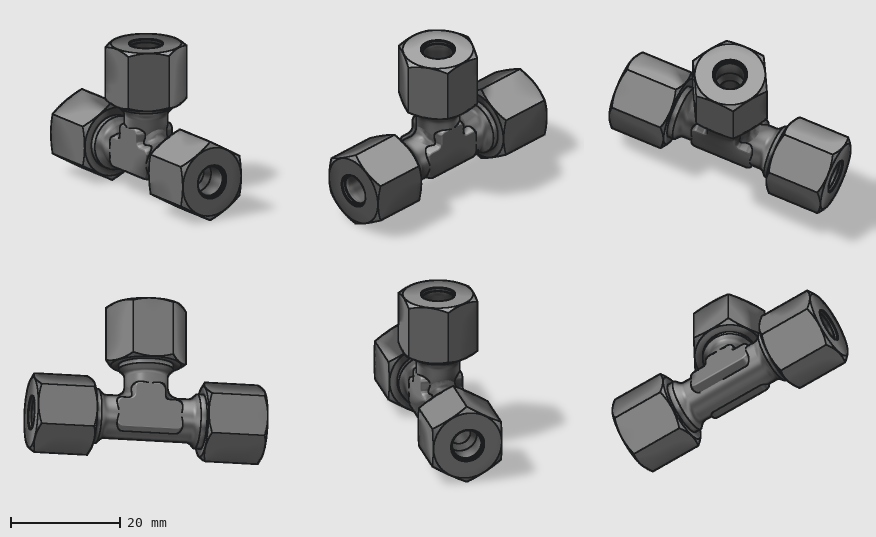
import cadquery as cq
import math

run_reach = 21.45
branch_reach = 21.18

nut_width = 13.0
nut_length = 11.05
nut_face_radius = 6.45
nut_chamfer_angle = 30.0
nut_hole_radius = 3.0
nut_rim_chamfer = 0.17

ring_depth = 0.65
ring_lip_radius = 2.722
ring_lip_length = 0.95
ring_outer_radius = 4.0
ring_end_depth = 4.7

arm_radius = 4.0
collar_radius = 5.0
collar_start = 9.25
collar_neck_radius = 1.4
bore_radius = 2.0
arm_blend_radius = 1.95
blend_sweep_angle = 60
blend_bite = 0.01

pad_half_length = 6.0
pad_half_height = 2.8
pad_neck_half_width = 2.8
pad_top = 5.9
pad_corner_radius = 1.0
pad_depth = 2.15
pad_draft = 15.0
pad_edge_radius = 0.3

ports = [(run_reach, -90), (run_reach, 90), (branch_reach, 0)]


def revolve_about_z(profile):
    """Close a half profile drawn in the XZ plane and turn it about Z."""
    return profile.close().revolve(360, (0, 0, 0), (0, 1, 0))


def aim(body, turn):
    """Swing a body built on +Z to its port, by a turn about Y."""
    return body.rotate((0, 0, 0), (0, 1, 0), turn)


def make_nut(reach):
    """Hexagon nut on +Z with chamfered ends, bored for the ring and collar."""
    corner_radius = nut_width / math.sqrt(3)
    chamfer_drop = (corner_radius - nut_face_radius) * math.tan(math.radians(nut_chamfer_angle))
    inner_face = reach - nut_length
    hexagon = (
        cq.Workplane("XY")
        .workplane(offset=inner_face)
        .polygon(6, 2 * corner_radius)
        .extrude(nut_length)
    )
    chamfered_envelope = revolve_about_z(
        cq.Workplane("XZ")
        .moveTo(0, inner_face)
        .lineTo(nut_face_radius, inner_face)
        .lineTo(corner_radius, inner_face + chamfer_drop)
        .lineTo(corner_radius, reach - chamfer_drop)
        .lineTo(nut_face_radius, reach)
        .lineTo(0, reach)
    )
    ring_rear = reach - ring_depth
    shoulder = ring_outer_radius - nut_hole_radius
    ring_seat = reach - ring_end_depth
    cavity = revolve_about_z(
        cq.Workplane("XZ")
        .moveTo(0, inner_face)
        .lineTo(collar_radius, inner_face)
        .lineTo(collar_radius, ring_seat)
        .lineTo(ring_outer_radius, ring_seat)
        .lineTo(ring_outer_radius, ring_rear - shoulder)
        .lineTo(nut_hole_radius, ring_rear)
        .lineTo(nut_hole_radius, reach - nut_rim_chamfer)
        .lineTo(nut_hole_radius + nut_rim_chamfer, reach)
        .lineTo(0, reach)
    )
    return hexagon.intersect(chamfered_envelope).cut(cavity)


def make_ring(reach):
    """Ring on +Z: 45 degree rear shoulder outside, flared lip inside."""
    rear = reach - ring_depth
    seat = reach - ring_end_depth
    shoulder = ring_outer_radius - nut_hole_radius
    return revolve_about_z(
        cq.Workplane("XZ")
        .moveTo(nut_hole_radius, seat)
        .lineTo(ring_outer_radius, seat)
        .lineTo(ring_outer_radius, rear - shoulder)
        .lineTo(nut_hole_radius, rear)
        .lineTo(ring_lip_radius, rear)
        .lineTo(nut_hole_radius, rear - ring_lip_length)
    )


def make_arm(reach):
    """Arm on +Z: plain neck, then a 45 degree cone rising to the collar."""
    end = reach - ring_end_depth
    diagonal = math.sqrt(0.5)
    cone_foot_radius = arm_radius + collar_neck_radius * (1 - diagonal)
    cone_foot = collar_start - (collar_radius - cone_foot_radius)
    neck_end = cone_foot - collar_neck_radius * diagonal
    arc_mid = math.radians(45 / 2)
    return revolve_about_z(
        cq.Workplane("XZ")
        .lineTo(arm_radius, 0)
        .lineTo(arm_radius, neck_end)
        .threePointArc(
            (
                arm_radius + collar_neck_radius * (1 - math.cos(arc_mid)),
                neck_end + collar_neck_radius * math.sin(arc_mid),
            ),
            (cone_foot_radius, cone_foot),
        )
        .lineTo(collar_radius, collar_start)
        .lineTo(collar_radius, end)
        .lineTo(0, end)
    )


def make_bore(reach):
    """Flow bore on +Z, opening as a 45 degree funnel at the ring's seat."""
    end = reach - ring_end_depth
    return revolve_about_z(
        cq.Workplane("XZ")
        .lineTo(bore_radius, 0)
        .lineTo(bore_radius, end - (nut_hole_radius - bore_radius))
        .lineTo(nut_hole_radius, end)
        .lineTo(0, end)
    )


def make_pad():
    """T-shaped flat on the -Y side, level with the arms, with drafted walls."""
    outline = (
        cq.Sketch()
        .polygon([
            (-pad_half_length, -pad_half_height),
            (pad_half_length, -pad_half_height),
            (pad_half_length, pad_half_height),
            (pad_neck_half_width, pad_half_height),
            (pad_neck_half_width, pad_top),
            (-pad_neck_half_width, pad_top),
            (-pad_neck_half_width, pad_half_height),
            (-pad_half_length, pad_half_height),
            (-pad_half_length, -pad_half_height),
        ])
        .vertices()
        .fillet(pad_corner_radius)
    )
    return (
        cq.Workplane("XZ", origin=(0, -arm_radius, 0))
        .placeSketch(outline)
        .extrude(-pad_depth, taper=-pad_draft)
        .faces("<Y")
        .edges()
        .fillet(pad_edge_radius)
    )


def make_crotch_round():
    """Rolling-ball rounding between the branch and the +X half of the run.

    The ball touches both arms, so its centre follows an ellipse in the plane
    at 45 degrees between them, and its contact lines bound the round.
    """
    ball_reach = arm_radius + arm_blend_radius
    wedge = (
        cq.Workplane("XZ")
        .polyline([(0, 0), (ball_reach, arm_radius), (arm_radius, ball_reach)])
        .close()
        .extrude(arm_radius, both=True)
    )
    crotch_plane = cq.Plane(origin=(0, 0, 0), xDir=(1, 0, 1), normal=(1, 0, -1))
    contact_reach = (arm_radius + ball_reach) / math.sqrt(2)
    contact_limit = (
        cq.Workplane(crotch_plane)
        .ellipse(contact_reach, arm_radius)
        .extrude(ball_reach, both=True)
    )
    ball_path = cq.Workplane(crotch_plane).ellipseArc(
        ball_reach * math.sqrt(2), ball_reach, -blend_sweep_angle, blend_sweep_angle, startAtCurrent=False
    )
    path_start = ball_path.val().startPoint().toTuple()
    path_direction = ball_path.val().tangentAt(0).toTuple()
    ball_sweep = (
        cq.Workplane(cq.Plane(origin=path_start, xDir=(1, 0, -1), normal=path_direction))
        .circle(arm_blend_radius + blend_bite)
        .sweep(ball_path)
    )
    return wedge.intersect(contact_limit).cut(ball_sweep)


def make_tee():
    """Two pads, three arms and two rounded crotches, then bored from each port."""
    tee = make_pad()
    tee = tee.union(make_pad().mirror("XZ"))
    for reach, turn in ports:
        tee = tee.union(aim(make_arm(reach), turn))
    crotch = make_crotch_round()
    tee = tee.union(crotch).union(crotch.mirror("YZ"))
    for reach, turn in ports:
        tee = tee.cut(aim(make_bore(reach), turn))
    return tee


tee = make_tee()
rings = [aim(make_ring(reach), turn) for reach, turn in ports]
nuts = [aim(make_nut(reach), turn) for reach, turn in ports]

result = cq.Compound.makeCompound([
    tee.val(),
    *[ring.val() for ring in rings],
    *[nut.val() for nut in nuts],
])